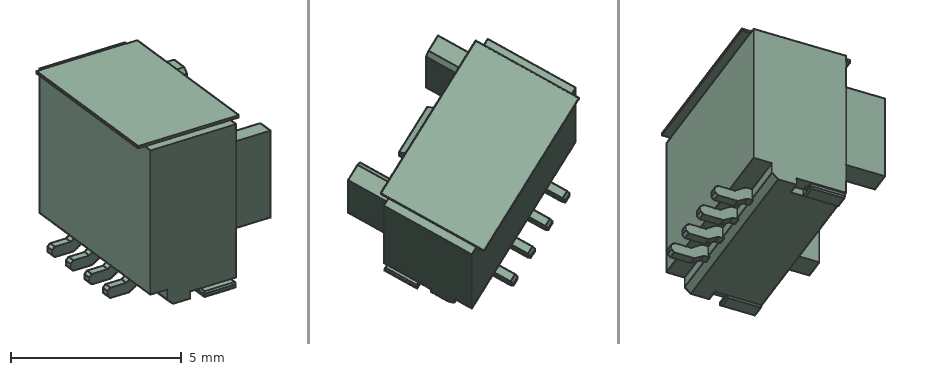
import cadquery as cq


housing_width = 6.0
housing_depth = 2.99
housing_bottom = 0.29
housing_top = 5.39

skirt_front = 0.59
skirt_back = 2.9
skirt_bottom = 0.05
front_step_height = 0.585
skirt_chamfer_run = 0.2
skirt_chamfer_rise = 0.18

notch_depth = 0.4
notch_front = 1.39

key_width = 5.205
key_back = 4.44
key_bottom = 1.67
key_top = 4.57
slot_width = 3.805
slot_floor = 3.395
slot_chamfer = 0.15

latch_width = 1.635
latch_reach = 0.37
latch_top = 4.055
latch_ramp_drop = 0.435
latch_height = 0.75

pin_count = 4
pin_pitch = 1.0
pin_width = 0.26
pin_tip = -0.605
pin_thickness = 0.35
pin_tip_chamfer = 0.095
pin_lower_bend_front = 0.14
pin_lower_bend_back = 0.45
pin_upper_bend_front = 0.045
pin_upper_bend_back = 0.38
pin_root_bottom = 0.195

overall_width = 6.24
pad_width = 0.52
pad_front = 1.79
pad_thickness = 0.195
pad_chamfer = 0.05
riser_thickness = 0.19

film_width = 5.49
film_depth = 3.51
film_top = 5.5
film_thickness = 0.08


def box(x_range, y_range, z_range):
    """Axis-aligned box between pairs of limits."""
    size = [high - low for low, high in (x_range, y_range, z_range)]
    corner = (x_range[0], y_range[0], z_range[0])
    return cq.Workplane("XY").box(*size, centered=False).translate(corner)


def centred_span(width):
    """Limits of a width centred on X = 0."""
    return (-width / 2, width / 2)


def extrude_across(profile, width):
    """Extrude a (Y, Z) profile over a width centred on X = 0."""
    return cq.Workplane("YZ").polyline(profile).close().extrude(width / 2, both=True)


def make_housing_block():
    """Housing with its stepped front, chamfered skirt and notched bottom corners."""
    profile = [
        (0, housing_top),
        (0, front_step_height),
        (skirt_front, front_step_height),
        (skirt_front, skirt_bottom + skirt_chamfer_rise),
        (skirt_front + skirt_chamfer_run, skirt_bottom),
        (skirt_back, skirt_bottom),
        (skirt_back, housing_bottom),
        (housing_depth, housing_bottom),
        (housing_depth, housing_top),
    ]
    block = extrude_across(profile, housing_width)
    outer = housing_width / 2
    notch = box((outer - notch_depth, outer), (notch_front, housing_depth), (0, housing_bottom))
    return block.cut(notch).cut(notch.mirror("YZ"))


def make_key():
    """Block at the back with a slot whose top edges are chamfered."""
    key = box(centred_span(key_width), (housing_depth, key_back), (key_bottom, key_top))
    slot = box(centred_span(slot_width), (slot_floor, key_back), (key_bottom, key_top))
    return key.cut(slot).cut(make_slot_lead_in())


def make_slot_lead_in():
    """Tapered cutter that chamfers the three top edges of the slot."""
    lower_half = slot_width / 2
    upper_half = lower_half + slot_chamfer
    side_profile = [
        (-lower_half, key_top - slot_chamfer),
        (lower_half, key_top - slot_chamfer),
        (upper_half, key_top),
        (-upper_half, key_top),
    ]
    floor_profile = [
        (key_back, key_top - slot_chamfer),
        (slot_floor, key_top - slot_chamfer),
        (slot_floor - slot_chamfer, key_top),
        (key_back, key_top),
    ]
    across = cq.Workplane("XZ").polyline(side_profile).close().extrude(-key_back)
    return across.intersect(extrude_across(floor_profile, key_width))


def make_latch():
    """Latch on the slot floor whose top slopes down towards the back."""
    profile = [
        (slot_floor, latch_top),
        (slot_floor + latch_reach, latch_top - latch_ramp_drop),
        (slot_floor + latch_reach, latch_top - latch_height),
        (slot_floor, latch_top - latch_height),
    ]
    return extrude_across(profile, latch_width)


def make_pin(x_centre):
    """Gull-wing pin that leaves the skirt and bends down to the solder plane."""
    root = skirt_front + skirt_chamfer_run
    profile = [
        (root, front_step_height),
        (pin_upper_bend_back, front_step_height),
        (pin_upper_bend_front, pin_thickness),
        (pin_tip + pin_tip_chamfer, pin_thickness),
        (pin_tip, pin_thickness - pin_tip_chamfer),
        (pin_tip, pin_tip_chamfer),
        (pin_tip + pin_tip_chamfer, 0),
        (pin_lower_bend_front, 0),
        (pin_lower_bend_back, pin_root_bottom),
        (root, pin_root_bottom),
    ]
    return extrude_across(profile, pin_width).translate((x_centre, 0, 0))


def make_hold_down():
    """Solder pad at the +X end, with a riser joining it to the housing."""
    outer = overall_width / 2
    inner = outer - pad_width
    y_range = (pad_front, skirt_back)
    pad = box((inner, outer), y_range, (0, pad_thickness))
    pad = pad.faces(">X or <Y").edges(">Z or <Z").chamfer(pad_chamfer)
    pad = pad.faces("<X").edges("<Z").chamfer(pad_chamfer)
    riser = box((inner, inner + riser_thickness), y_range, (pad_thickness / 2, housing_bottom))
    riser = riser.edges("|Z and >X and <Y").chamfer(pad_chamfer)
    return pad.union(riser)


def make_connector():
    """Housing with its key, latch, pins and hold-downs as one solid."""
    connector = make_housing_block().union(make_key()).union(make_latch())
    for index in range(pin_count):
        x_centre = (index - (pin_count - 1) / 2) * pin_pitch
        connector = connector.union(make_pin(x_centre))
    hold_down = make_hold_down()
    return connector.union(hold_down).union(hold_down.mirror("YZ"))


def make_film():
    """Thin film a small gap above the housing, centred on it and overhanging front and back."""
    film_front = (housing_depth - film_depth) / 2
    return box(
        centred_span(film_width),
        (film_front, film_front + film_depth),
        (film_top - film_thickness, film_top),
    )


connector = make_connector()
film = make_film()

result = cq.Compound.makeCompound([connector.val(), film.val()])